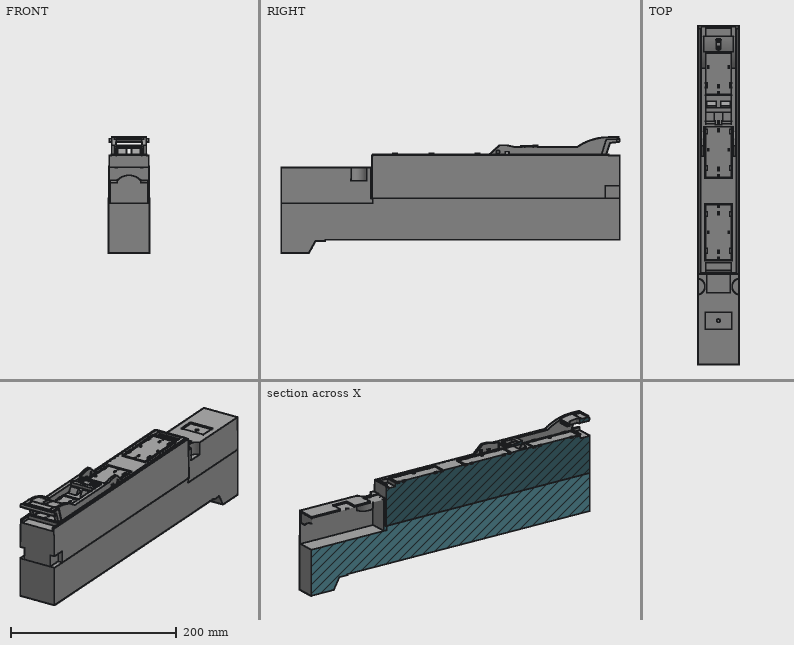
import cadquery as cq

LENGTH = 410.0
WIDTH = 49.5
HEIGHT = 140.5
HALF_WIDTH = WIDTH / 2
LID_TOP_WIDTH = 48.0

UNDERSIDE_Z = 16.0
PAD_Z = 14.8
FOOT_TOE_Y = 33.5
FOOT_HEEL_Y = 42.0
PAD_END_Y = 53.5
COVER_SEAT_Z = 60.5
LID_SEAT_Z = 66.5
SEAT_STEP_Y = 111.0

LID_FRONT_Y = 110.0
LID_SHOULDER_Z = 118.5
LID_TOP_Z = 119.5
PLATFORM_HALF_WIDTH = 21.5
PLATFORM_SETBACK = 1.2
PLATFORM_FRONT_Y = LID_FRONT_Y + PLATFORM_SETBACK
PLATFORM_BACK_Y = 396.5
FINGER_RECESS_DEPTH = 5.0
BACK_NOTCH_LENGTH = 17.5
BACK_NOTCH_DEPTH = 6.0
BACK_NOTCH_TOP_Z = 81.5
FRONT_POCKET_Y = (112.0, 123.5)
FRONT_POCKET_STEP_Y = 114.0
FRONT_POCKET_DEPTH = 5.0
FRONT_POCKET_STEP_DEPTH = 3.5

WINDOW_PITCH = 100.0
WINDOW_COUNT = 3
FIRST_WINDOW_Y = 160.0
WINDOW_LENGTH = 69.0
WINDOW_HALF_WIDTH = 17.0
GROOVE_WIDTH = 1.2
GROOVE_DEPTH = 1.0
CLIP_PITCH = 44.3
CLIP_LENGTH = 5.7
CLIP_WIDTH = 2.5
CLIP_HEIGHT = 1.2
CLIP_X = 14.8
TEST_SLOT_WIDTH = 1.2
SIDE_SLOT_X = 12.5
SIDE_SLOT_LENGTH = 2.5
CENTRE_SLOT_LENGTH = 3.5
CENTRE_SLOT_OFFSET = 23.5
END_SLOT_OFFSET = 32.0
TEST_SLOT_DEPTH = 1.5

RAIL_INNER_X = 15.5
RAIL_STEP_X = 19.9
RAIL_OUTER_X = 21.0
FRONT_RAIL_INNER_X = 17.5
FRONT_RAIL_Y = 287.5
RAIL_TOP_Z = 128.7
RAIL_NOSE_Z = 130.8
RAIL_NOSE_START_Y = 282.0
RAIL_NOSE_Y = (264.5, 273.0)
RAIL_TIP_Y = 252.0
LEG_FOOT_Y = 393.5
LEG_BEND = (398.0, 133.2)
GRIP_UNDERSIDE_END_Y = 405.5
SKIN_FOOT_Y = 387.8
SKIN_BOTTOM_Z = 138.0
GRIP_BACK_Y = 408.3
GRIP_FRONT_Y = 378.5
PLAIN_BACK = [(GRIP_BACK_Y, LID_TOP_Z), (GRIP_BACK_Y, HEIGHT)]
GRIP_BOTTOM_Z = 134.0
GRIP_CURVE_START_Y = 396.8
GRIP_CURVE_END_Y = 358.3
GRIP_LIP_LENGTH = 1.5
GRIP_LIP_HEIGHT = 1.5
GRIP_SLOT_Y = (380.5, 394.5)
GRIP_SLOT_WIDTH = 5.7
GRIP_INSET_HALF_WIDTH = 18.0
GRIP_INSET_DEPTH = 0.5
LABEL_Y = (GRIP_CURVE_START_Y, 406.5)
LABEL_DEPTH = 1.0
BAR_DIAMETER = 4.0
BAR_Z = 136.5
BAR_HALF_LENGTH = 24.0
PIVOT_HOLE_DIAMETER = 3.6
PIVOT_HOLE_Y = 262.5
PIVOT_HOLE_Z = 122.5
RAIL_NOTCH_Y = (271.5, 275.5)
RAIL_NOTCH_HEIGHT = 3.0

BRIDGE_BOTTOM_Z = 126.5
BRIDGE_Y = (305.0, 310.5)
FRONT_BRIDGE_Y = (FRONT_RAIL_Y, 291.0)
BRIDGE_LEDGE_Y = 294.5
BRIDGE_LEDGE_DROP = 1.2
ROOF_Y = (308.0, 313.0, 318.5)
ROOF_X = (3.0, 14.0)
LATCH_Y = (294.7, 308.2)
LATCH_HALF_WIDTH = 5.5
LATCH_NOSE_Y = 290.0
LATCH_NOSE_HALF_WIDTH = 3.5
LATCH_TOP_Z = 130.0
LATCH_SLIT_WIDTH = 1.2

COVER_TOP_Z = 103.5
COVER_BACK_Y = 109.0
COVER_WALL = 2.5
SIDE_WALL = 1.5
FRONT_WALL = 1.2
OPENING_SHOULDER_Z = 88.0
OPENING_TOP_Z = 94.3
OPENING_ARCH_HALF_WIDTH = 14.0
GRIP_NOTCH_Y = 94.3
GRIP_NOTCH_FLOOR_Z = 87.7
GRIP_NOTCH_HALF_WIDTH = 9.65
GRIP_NOTCH_DEPTH = 7.8
LATCH_RECESS_Y = 87.0
LATCH_RECESS_HALF_WIDTH = 14.5
LATCH_RECESS_DEPTH = 1.2
SCREW_RECESS_Y = (42.5, 63.5)
SCREW_RECESS_HALF_WIDTH = 16.0
SCREW_RECESS_DEPTH = 2.0
SCREW_HOLE_DIAMETER = 4.0


def box(x_range, y_range, z_range):
    """Block between two limits along each axis."""
    size = [high - low for low, high in (x_range, y_range, z_range)]
    corner = (x_range[0], y_range[0], z_range[0])
    return cq.Workplane("XY").box(*size, centered=False).translate(corner)


def centred_box(half_width, y_range, z_range):
    """Block that is symmetric about the middle plane X = 0."""
    return box((-half_width, half_width), y_range, z_range)


def both_sides(shape):
    """The shape together with its mirror image across X = 0."""
    return shape.union(shape.mirror("YZ"))


def side_half_width(z):
    """Half width between the leaning side walls at height z above the lid seat."""
    lean = (HALF_WIDTH - LID_TOP_WIDTH / 2) / (LID_SHOULDER_Z - LID_SEAT_Z)
    return HALF_WIDTH - lean * (z - LID_SEAT_Z)


def leaning_block(y_range, bottom_z, top_z):
    """Block whose side walls lean inwards from the full width."""
    bottom = min(side_half_width(bottom_z), HALF_WIDTH)
    top = side_half_width(top_z)
    outline = [(-bottom, bottom_z), (bottom, bottom_z), (top, top_z), (-top, top_z)]
    block = cq.Workplane("XZ").polyline(outline).close().extrude(y_range[0] - y_range[1])
    return block.translate((0, y_range[0], 0))


def upright_hole(x, y, top_z, diameter, depth):
    """Cylinder that goes down from top_z."""
    return cq.Workplane("XY", origin=(x, y, top_z)).circle(diameter / 2).extrude(-depth)


def make_base():
    profile = [
        (0, 0),
        (FOOT_TOE_Y, 0),
        (FOOT_HEEL_Y, PAD_Z),
        (PAD_END_Y, PAD_Z),
        (PAD_END_Y, UNDERSIDE_Z),
        (LENGTH, UNDERSIDE_Z),
        (LENGTH, LID_SEAT_Z),
        (SEAT_STEP_Y, LID_SEAT_Z),
        (SEAT_STEP_Y, COVER_SEAT_Z),
        (0, COVER_SEAT_Z),
    ]
    return cq.Workplane("YZ").polyline(profile).close().extrude(HALF_WIDTH, both=True)


def grip_notch(growth, floor_z):
    """Round notch in the -X side, open at the top, with its radius enlarged by growth."""
    radius = (GRIP_NOTCH_HALF_WIDTH**2 + GRIP_NOTCH_DEPTH**2) / (2 * GRIP_NOTCH_DEPTH)
    centre_x = GRIP_NOTCH_DEPTH - radius - side_half_width(COVER_TOP_Z)
    return upright_hole(centre_x, GRIP_NOTCH_Y, COVER_TOP_Z, 2 * (radius + growth), COVER_TOP_Z - floor_z)


def cover_cavity():
    """Room below the roof, left solid around the two grip notches."""
    half_width = side_half_width(COVER_TOP_Z) - SIDE_WALL
    roof_z = COVER_TOP_Z - COVER_WALL
    cavity = centred_box(half_width, (FRONT_WALL, COVER_BACK_Y - COVER_WALL), (COVER_SEAT_Z, roof_z))
    notch_wall = grip_notch(COVER_WALL, GRIP_NOTCH_FLOOR_Z - COVER_WALL)
    return cavity.cut(both_sides(notch_wall))


def cable_opening():
    """Opening in the front wall, wide below and arched above."""
    half_width = side_half_width(COVER_TOP_Z) - SIDE_WALL
    outline = (
        cq.Workplane("XZ")
        .moveTo(-half_width, COVER_SEAT_Z)
        .lineTo(half_width, COVER_SEAT_Z)
        .lineTo(half_width, OPENING_SHOULDER_Z)
        .lineTo(OPENING_ARCH_HALF_WIDTH, OPENING_SHOULDER_Z)
        .threePointArc((0, OPENING_TOP_Z), (-OPENING_ARCH_HALF_WIDTH, OPENING_SHOULDER_Z))
        .lineTo(-half_width, OPENING_SHOULDER_Z)
        .close()
    )
    return outline.extrude(-FRONT_WALL)


def make_cover():
    body = leaning_block((0, SEAT_STEP_Y), COVER_SEAT_Z, COVER_TOP_Z)
    lid_clearance = centred_box(HALF_WIDTH, (COVER_BACK_Y, SEAT_STEP_Y), (LID_SEAT_Z, COVER_TOP_Z))
    body = body.cut(lid_clearance).cut(cover_cavity()).cut(cable_opening())
    body = body.cut(both_sides(grip_notch(0, GRIP_NOTCH_FLOOR_Z)))

    latch_floor_z = COVER_TOP_Z - LATCH_RECESS_DEPTH
    body = body.cut(
        centred_box(LATCH_RECESS_HALF_WIDTH, (LATCH_RECESS_Y, COVER_BACK_Y), (latch_floor_z, COVER_TOP_Z))
    )
    screw_floor_z = COVER_TOP_Z - SCREW_RECESS_DEPTH
    body = body.cut(centred_box(SCREW_RECESS_HALF_WIDTH, SCREW_RECESS_Y, (screw_floor_z, COVER_TOP_Z)))
    screw_y = sum(SCREW_RECESS_Y) / 2
    return body.cut(upright_hole(0, screw_y, COVER_TOP_Z, SCREW_HOLE_DIAMETER, COVER_WALL))


def lid_body():
    """Box of the lid with its raised platform, finger recess, back notches and front pocket."""
    body = leaning_block((LID_FRONT_Y, LENGTH), LID_SEAT_Z, LID_SHOULDER_Z)
    body = body.union(
        centred_box(PLATFORM_HALF_WIDTH, (PLATFORM_FRONT_Y, PLATFORM_BACK_Y), (LID_SHOULDER_Z, LID_TOP_Z))
    )
    recess_floor_z = LID_TOP_Z - FINGER_RECESS_DEPTH
    recess_y = (PLATFORM_BACK_Y, LENGTH)
    body = body.cut(centred_box(PLATFORM_HALF_WIDTH, recess_y, (recess_floor_z, LID_TOP_Z)))
    back_notch = box(
        (-HALF_WIDTH, BACK_NOTCH_DEPTH - HALF_WIDTH),
        (LENGTH - BACK_NOTCH_LENGTH, LENGTH),
        (LID_SEAT_Z, BACK_NOTCH_TOP_Z),
    )
    body = body.cut(both_sides(back_notch))
    step_floor_z = LID_TOP_Z - FRONT_POCKET_STEP_DEPTH
    pocket_floor_z = LID_TOP_Z - FRONT_POCKET_DEPTH
    pocket_y = (FRONT_POCKET_STEP_Y, FRONT_POCKET_Y[1])
    body = body.cut(centred_box(RAIL_INNER_X, FRONT_POCKET_Y, (step_floor_z, LID_TOP_Z)))
    return body.cut(centred_box(RAIL_INNER_X, pocket_y, (pocket_floor_z, LID_TOP_Z)))


def window_cuts(middle_y):
    """Groove around one fuse window and the narrow test slots in it."""
    floor_z = LID_TOP_Z - GROOVE_DEPTH
    ends = (middle_y - WINDOW_LENGTH / 2, middle_y + WINDOW_LENGTH / 2)
    inner_ends = (ends[0] + GROOVE_WIDTH, ends[1] - GROOVE_WIDTH)
    cuts = centred_box(WINDOW_HALF_WIDTH, ends, (floor_z, LID_TOP_Z))
    cuts = cuts.cut(centred_box(WINDOW_HALF_WIDTH - GROOVE_WIDTH, inner_ends, (floor_z, LID_TOP_Z)))
    for side in (-1, 1):
        slots = [
            (side * SIDE_SLOT_X, middle_y, SIDE_SLOT_LENGTH),
            (0, middle_y + side * CENTRE_SLOT_OFFSET, CENTRE_SLOT_LENGTH),
            (0, middle_y + side * END_SLOT_OFFSET, CENTRE_SLOT_LENGTH),
        ]
        for x, y, length in slots:
            slot_y = (y - length / 2, y + length / 2)
            slot = centred_box(TEST_SLOT_WIDTH / 2, slot_y, (LID_TOP_Z - TEST_SLOT_DEPTH, LID_TOP_Z))
            cuts = cuts.union(slot.translate((x, 0, 0)))
    return cuts


def window_clips(middle_y):
    """Four small clips that hold one fuse window."""
    clip_y = (-CLIP_LENGTH / 2, CLIP_LENGTH / 2)
    clip = centred_box(CLIP_WIDTH / 2, clip_y, (LID_SHOULDER_Z, LID_TOP_Z + CLIP_HEIGHT))
    pair = both_sides(clip.translate((CLIP_X, 0, 0)))
    front_pair = pair.translate((0, middle_y - CLIP_PITCH / 2, 0))
    return front_pair.union(front_pair.translate((0, CLIP_PITCH, 0)))


def rail_plate(inner_x, outer_x, back_points):
    """Upright plate of one rail; back_points run from the lid up to the top edge."""
    outline = (
        cq.Workplane("YZ", origin=(inner_x, 0, 0))
        .polyline(back_points)
        .lineTo(GRIP_CURVE_START_Y, HEIGHT)
        .tangentArcPoint((GRIP_CURVE_END_Y, RAIL_TOP_Z), relative=False)
        .lineTo(RAIL_NOSE_START_Y, RAIL_TOP_Z)
        .lineTo(RAIL_NOSE_Y[1], RAIL_NOSE_Z)
        .lineTo(RAIL_NOSE_Y[0], RAIL_NOSE_Z)
        .lineTo(RAIL_TIP_Y, LID_TOP_Z)
        .close()
    )
    return outline.extrude(outer_x - inner_x)


def grip_inset():
    """Thin layer taken off the curved top of the grip between the rails."""
    below_top = rail_plate(0, GRIP_INSET_HALF_WIDTH, PLAIN_BACK)
    layer = below_top.cut(below_top.translate((0, 0, -GRIP_INSET_DEPTH)))
    curved_y = (GRIP_FRONT_Y, GRIP_CURVE_START_Y)
    return both_sides(layer.intersect(box((0, GRIP_INSET_HALF_WIDTH), curved_y, (GRIP_BOTTOM_Z, HEIGHT))))


def make_rail():
    """Rail on the +X side: a core plate with a shorter outer skin."""
    core_back = [
        (LEG_FOOT_Y, LID_TOP_Z),
        LEG_BEND,
        (GRIP_UNDERSIDE_END_Y, GRIP_BOTTOM_Z),
        (GRIP_BACK_Y, GRIP_BOTTOM_Z),
        (GRIP_BACK_Y, HEIGHT),
    ]
    skin_back = [
        (SKIN_FOOT_Y, LID_TOP_Z),
        (LEG_FOOT_Y, SKIN_BOTTOM_Z),
        (GRIP_BACK_Y, SKIN_BOTTOM_Z),
        (GRIP_BACK_Y, HEIGHT),
    ]
    rail = rail_plate(RAIL_INNER_X, RAIL_STEP_X, core_back)
    rail = rail.union(rail_plate(RAIL_STEP_X, RAIL_OUTER_X, skin_back))
    thinning = box(
        (RAIL_INNER_X, FRONT_RAIL_INNER_X), (RAIL_TIP_Y, FRONT_RAIL_Y), (LID_TOP_Z, RAIL_NOSE_Z)
    )
    pivot_hole = (
        cq.Workplane("YZ")
        .center(PIVOT_HOLE_Y, PIVOT_HOLE_Z)
        .circle(PIVOT_HOLE_DIAMETER / 2)
        .extrude(HALF_WIDTH)
    )
    foot_notch = box((RAIL_INNER_X, RAIL_OUTER_X), RAIL_NOTCH_Y, (LID_TOP_Z, LID_TOP_Z + RAIL_NOTCH_HEIGHT))
    return rail.cut(thinning).cut(pivot_hole).cut(foot_notch)


def make_grip():
    """Curved plate between the rails, with a round bar along its back edge."""
    plate = rail_plate(0, RAIL_INNER_X, PLAIN_BACK)
    plate = plate.intersect(box((0, RAIL_INNER_X), (GRIP_FRONT_Y, GRIP_BACK_Y), (GRIP_BOTTOM_Z, HEIGHT)))
    plate = both_sides(plate)
    plate = plate.cut(centred_box(RAIL_INNER_X, LABEL_Y, (HEIGHT - LABEL_DEPTH, HEIGHT)))
    lip_y = (GRIP_FRONT_Y - GRIP_LIP_LENGTH, GRIP_FRONT_Y)
    plate = plate.union(
        centred_box(RAIL_INNER_X, lip_y, (GRIP_BOTTOM_Z, GRIP_BOTTOM_Z + GRIP_LIP_HEIGHT))
    )
    slot_length = GRIP_SLOT_Y[1] - GRIP_SLOT_Y[0]
    slot = (
        cq.Workplane("XY", origin=(0, sum(GRIP_SLOT_Y) / 2, GRIP_BOTTOM_Z))
        .slot2D(slot_length, GRIP_SLOT_WIDTH, 90)
        .extrude(HEIGHT - GRIP_BOTTOM_Z)
    )
    bar = (
        cq.Workplane("YZ")
        .center(LENGTH - BAR_DIAMETER / 2, BAR_Z)
        .circle(BAR_DIAMETER / 2)
        .extrude(BAR_HALF_LENGTH, both=True)
    )
    return plate.cut(slot).union(bar)


def make_bridge():
    """Two cross bars between the rails, the latch on them and two roof-shaped guides."""
    bridge = centred_box(RAIL_INNER_X, BRIDGE_Y, (BRIDGE_BOTTOM_Z, RAIL_NOSE_Z))
    bridge = bridge.union(centred_box(FRONT_RAIL_INNER_X, FRONT_BRIDGE_Y, (BRIDGE_BOTTOM_Z, RAIL_TOP_Z)))
    ledge_y = (FRONT_BRIDGE_Y[1], BRIDGE_LEDGE_Y)
    ledge_z = (BRIDGE_BOTTOM_Z, RAIL_TOP_Z - BRIDGE_LEDGE_DROP)
    bridge = bridge.union(centred_box(RAIL_INNER_X, ledge_y, ledge_z))

    latch_z = (BRIDGE_BOTTOM_Z, LATCH_TOP_Z)
    nose_y = (LATCH_NOSE_Y, LATCH_Y[0])
    latch = centred_box(LATCH_HALF_WIDTH, LATCH_Y, latch_z)
    latch = latch.union(centred_box(LATCH_NOSE_HALF_WIDTH, nose_y, latch_z))
    latch = latch.cut(centred_box(LATCH_SLIT_WIDTH / 2, nose_y, (RAIL_TOP_Z, LATCH_TOP_Z)))

    roof_profile = [(ROOF_Y[0], LID_TOP_Z), (ROOF_Y[1], BRIDGE_BOTTOM_Z), (ROOF_Y[2], LID_TOP_Z)]
    roof = (
        cq.Workplane("YZ", origin=(ROOF_X[0], 0, 0))
        .polyline(roof_profile)
        .close()
        .extrude(ROOF_X[1] - ROOF_X[0])
    )
    return bridge.union(latch).union(both_sides(roof))


def make_lid():
    lid = lid_body()
    window_rows = [FIRST_WINDOW_Y + row * WINDOW_PITCH for row in range(WINDOW_COUNT)]
    for middle_y in window_rows:
        lid = lid.cut(window_cuts(middle_y))
    for middle_y in window_rows:
        lid = lid.union(window_clips(middle_y))
    handle = both_sides(make_rail()).union(make_grip()).cut(grip_inset())
    return lid.union(handle).union(make_bridge())


base = make_base()
cover = make_cover()
lid = make_lid()

result = cq.Compound.makeCompound([base.val(), cover.val(), lid.val()])